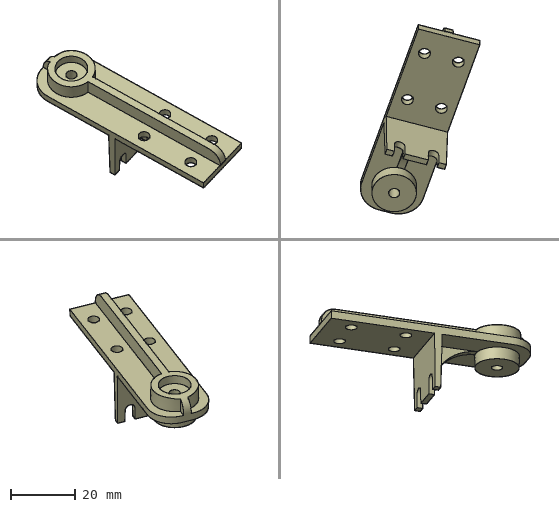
import cadquery as cq
import math

draft = 1.0
draft_slope = math.tan(math.radians(draft))

length = 68.15
rib_overhang = 0.15
plate_length = length - rib_overhang
plate_width = 20.1
plate_thickness = 2.5
corner_radius = 8.05

pivot_x = 9.9
ring_diameter = 15.0
rise = 5.0
boss_diameter = 14.0
boss_height = 3.95
recess_diameter = 10.15
recess_depth = 3.0
pivot_hole_diameter = 3.4

rib_width = 2.65
rib_end_radius = 4.5

hole_diameter = 3.6
hole_first_x = 41.85
hole_pitch_x = 18.0
row_offset = 5.5

leg_x = 32.7
leg_thickness = 2.5
leg_height = 18.0
slot_width = 3.3
slot_height = 5.85
slot_mouth_width = 3.5
gusset_width = 2.45
gusset_height = 15.6


def frustum(diameter, start_z, height):
    """Round boss on the pivot axis, narrowing away from start_z; a negative height points down."""
    return (
        cq.Workplane("XY", origin=(pivot_x, 0, start_z))
        .circle(diameter / 2)
        .extrude(height, taper=draft)
    )


def tapered_box(x_size, y_size, height, center_x, start_z):
    return (
        cq.Workplane("XY", origin=(center_x, 0, start_z))
        .rect(x_size, y_size)
        .extrude(height, taper=draft)
    )


def make_plate():
    bottom_inset = plate_thickness * draft_slope
    return (
        cq.Workplane("XY", origin=(plate_length / 2, 0, 0))
        .rect(plate_length, plate_width)
        .workplane(offset=-plate_thickness)
        .rect(plate_length, plate_width - 2 * bottom_inset)
        .loft(ruled=True)
        .faces("<X")
        .edges("not |Y")
        .fillet(corner_radius)
    )


def make_upper_body():
    """Rib and ring, both rounded off in side profile at the two ends."""
    half_base = rib_width / 2
    half_top = half_base - rise * draft_slope
    rib = (
        cq.Workplane("YZ")
        .polyline([(-half_base, 0), (half_base, 0), (half_top, rise), (-half_top, rise)])
        .close()
        .extrude(length)
    )
    profile = (
        cq.Workplane("XZ")
        .rect(length, 2 * rise)
        .extrude(plate_width / 2, both=True)
        .edges("|Y and >Z")
        .fillet(rib_end_radius)
        .translate((length / 2, 0, 0))
    )
    return rib.union(frustum(ring_diameter, 0, rise)).intersect(profile)


def make_slot(center_y):
    """Open-ended slot through the leg, widening slightly towards its mouth."""
    radius = slot_width / 2
    foot_z = -plate_thickness - leg_height
    spring_z = foot_z + slot_height - radius
    return (
        cq.Workplane("YZ", origin=(leg_x - leg_thickness, center_y, 0))
        .moveTo(-slot_mouth_width / 2, foot_z)
        .lineTo(-radius, spring_z)
        .threePointArc((0, spring_z + radius), (radius, spring_z))
        .lineTo(slot_mouth_width / 2, foot_z)
        .close()
        .extrude(2 * leg_thickness)
    )


def make_leg():
    leg_width = plate_width - 2 * plate_thickness * draft_slope
    leg = tapered_box(leg_thickness, leg_width, -leg_height, leg_x, -plate_thickness)
    for side in (-1, 1):
        leg = leg.cut(make_slot(side * row_offset))
    return leg


def make_gusset():
    """Web between plate and leg with a concave quarter-round edge."""
    leg_face_x = leg_x - leg_thickness / 2 + gusset_height * draft_slope
    start_x = leg_face_x - gusset_height
    web_length = leg_x - start_x
    web = tapered_box(2 * web_length, gusset_width, -gusset_height, leg_x, -plate_thickness)
    left_of_leg = (
        cq.Workplane("XY")
        .box(web_length, plate_width, gusset_height, centered=(False, True, False))
        .translate((start_x, 0, -plate_thickness - gusset_height))
    )
    hollow = (
        cq.Workplane("XZ", origin=(start_x, 0, -plate_thickness - gusset_height))
        .circle(gusset_height)
        .extrude(plate_width / 2, both=True)
    )
    return web.intersect(left_of_leg).cut(hollow)


def make_holes():
    bottom_z = -plate_thickness - boss_height
    mounting_points = [
        (hole_first_x + column * hole_pitch_x, side * row_offset)
        for column in range(2)
        for side in (-1, 1)
    ]
    mounting = (
        cq.Workplane("XY", origin=(0, 0, -plate_thickness))
        .pushPoints(mounting_points)
        .circle(hole_diameter / 2)
        .extrude(plate_thickness)
    )
    pivot = (
        cq.Workplane("XY", origin=(pivot_x, 0, bottom_z))
        .circle(pivot_hole_diameter / 2)
        .extrude(rise - bottom_z)
    )
    recess = (
        cq.Workplane("XY", origin=(pivot_x, 0, rise - recess_depth))
        .circle(recess_diameter / 2)
        .extrude(recess_depth)
    )
    return mounting.union(pivot).union(recess)


result = (
    make_plate()
    .union(make_upper_body())
    .union(frustum(boss_diameter, -plate_thickness, -boss_height))
    .union(make_leg())
    .union(make_gusset())
    .cut(make_holes())
)